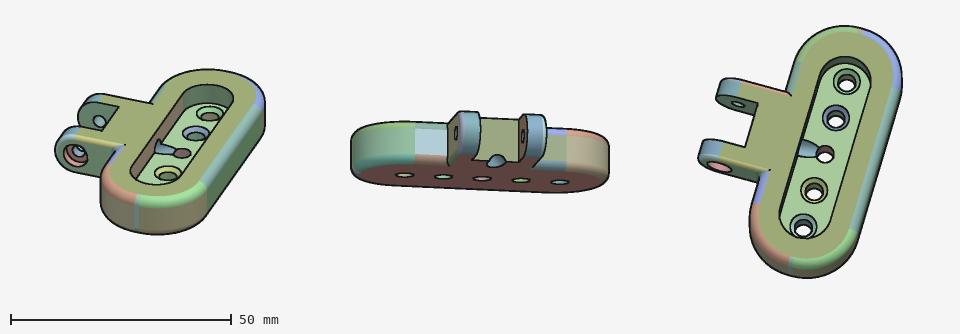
import cadquery as cq
import math

body_length = 59.0
body_width = 25.0
overall_width = 40.0
thickness = 10.0
body_corner_radius = 12.0
body_edge_fillet = 2.0

arm_width = 20.05
arm_tip_x = body_width / 2 - overall_width
arm_edge_fillet = 1.0
lug_radius = thickness / 2
lug_center_x = arm_tip_x + lug_radius
lug_gap_width = 10.85
lug_gap_depth = 10.0
inner_corner_fillet = 1.0

pin_setback = 5.3
pin_x = arm_tip_x + pin_setback
pin_diameter = 3.0
pin_head_diameter = 5.8
pin_head_depth = 2.0

row_center_y = -0.55
pocket_length = 44.5
pocket_width = 11.8
pocket_depth = 5.0
floor_z = thickness - pocket_depth
hole_diameter = 4.0
hole_pitch = 8.95
countersink_diameter = 6.0
countersink_angle = 90

channel_diameter = 4.0
channel_angle = 25.5
channel_floor_x = -5.65
channel_end_x = 0.0


def make_body():
    block = cq.Workplane("XY").box(body_width, body_length, thickness, centered=(True, True, False))
    return block.edges("|Z").fillet(body_corner_radius).faces("<Z or >Z").edges().fillet(body_edge_fillet)


def make_arm():
    """Arm with a round tip and softened side edges, ending inside the body."""
    profile = (
        cq.Workplane("XZ", origin=(0, arm_width / 2, 0))
        .moveTo(0, 0)
        .lineTo(lug_center_x, 0)
        .threePointArc((arm_tip_x, lug_radius), (lug_center_x, thickness))
        .lineTo(0, thickness)
        .close()
    )
    arm = profile.extrude(arm_width)
    return arm.faces("<Y or >Y").edges("not |Z").fillet(arm_edge_fillet)


def fillet_inner_corner(part):
    """Concave fillet on the upright edge where the -Y side of the arm meets the body."""
    corner = cq.selectors.NearestToPointSelector((-body_width / 2, -arm_width / 2, thickness / 2))
    return part.edges("|Z").edges(corner).fillet(inner_corner_fillet)


def cut_hinge(part):
    gap = cq.Workplane("XY").box(
        lug_gap_depth, lug_gap_width, thickness, centered=(False, True, False)
    ).translate((arm_tip_x, 0, 0))
    side = cq.Workplane("XZ", origin=(pin_x, -arm_width / 2, lug_radius))
    pin = side.circle(pin_diameter / 2).extrude(-arm_width)
    head = side.circle(pin_head_diameter / 2).extrude(-pin_head_depth)
    return part.cut(gap).cut(pin).cut(head)


def cut_pocket_and_holes(part):
    floor_plane = cq.Workplane("XY", origin=(0, row_center_y, floor_z))
    pocket = floor_plane.slot2D(pocket_length, pocket_width, 90).extrude(pocket_depth)
    floor = part.cut(pocket).copyWorkplane(floor_plane)
    screw_places = [(0, step * hole_pitch) for step in (-2, -1, 1, 2)]
    drilled = floor.pushPoints(screw_places).cskHole(hole_diameter, countersink_diameter, countersink_angle)
    return drilled.copyWorkplane(floor_plane).hole(hole_diameter)


def cut_channel(part):
    slope = math.radians(channel_angle)
    direction = cq.Vector(math.cos(slope), 0, math.sin(slope))
    crossing = cq.Vector(channel_floor_x, row_center_y, floor_z)
    start = crossing - direction * ((channel_floor_x - arm_tip_x) / math.cos(slope))
    length = (channel_end_x - arm_tip_x) / math.cos(slope)
    return part.cut(cq.Workplane(cq.Solid.makeCylinder(channel_diameter / 2, length, start, direction)))


result = fillet_inner_corner(make_body().union(make_arm()))
result = cut_hinge(result)
result = cut_pocket_and_holes(result)
result = cut_channel(result)